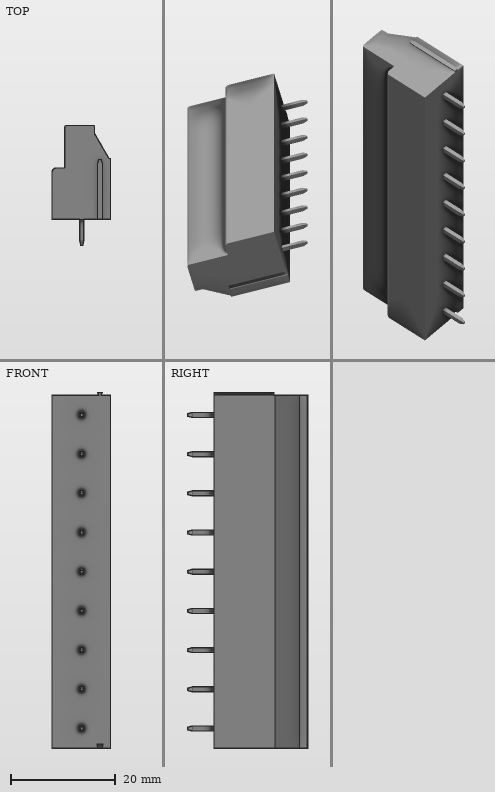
import cadquery as cq
import math

housing_width = 11.2
housing_height = 18.0
housing_length = 67.6

step_width = 2.4
step_height = 9.85
step_radius = 0.8
crown_right = 8.15
crown_left_radius = 0.5
crown_right_radius = 0.25
slope_top = 16.45
slope_angle = 60.0
slope_ledge = 0.3

pin_count = 9
pin_pitch = 7.5
pin_x = 5.7
pin_size_x = 0.8
pin_size_z = 1.0
pin_length = 5.0
pin_taper_length = 0.9
pin_tip_scale = 0.5
first_pin_z = (housing_length - (pin_count - 1) * pin_pitch) / 2

dovetail_x = 9.17
dovetail_length = 11.5
rib_height = 0.5
rib_root_width = 0.5
rib_outer_width = 0.9
rib_nose_length = 0.75
rib_nose_width = 0.5
groove_depth = 0.8
groove_mouth_width = 0.8
groove_inner_width = 1.2


def make_housing():
    """Extrude the stepped outline, rounded on its step and crown corners."""
    slope_run = housing_width - slope_ledge - crown_right
    slope_bottom = slope_top - slope_run * math.tan(math.radians(slope_angle))
    outline = [
        (0, 0),
        (housing_width, 0),
        (housing_width, slope_bottom),
        (housing_width - slope_ledge, slope_bottom),
        (crown_right, slope_top),
        (crown_right, housing_height),
        (step_width, housing_height),
        (step_width, step_height),
        (0, step_height),
    ]
    body = cq.Workplane("XY").polyline(outline).close().extrude(housing_length)
    rounded_corners = [
        (0, step_height, step_radius),
        (step_width, housing_height, crown_left_radius),
        (crown_right, housing_height, crown_right_radius),
    ]
    for x, y, radius in rounded_corners:
        corner = cq.selectors.NearestToPointSelector((x, y, housing_length / 2))
        body = body.edges("|Z").edges(corner).fillet(radius)
    return body


def make_pin(z):
    """Rectangular pin below the mounting face, tapered at its tip."""
    shank_length = pin_length - pin_taper_length
    shank = (
        cq.Workplane("XZ", origin=(pin_x, 0, z))
        .rect(pin_size_x, pin_size_z)
        .extrude(shank_length)
    )
    tip = (
        cq.Workplane("XZ", origin=(pin_x, -shank_length, z))
        .rect(pin_size_x, pin_size_z)
        .workplane(offset=pin_taper_length)
        .rect(pin_size_x * pin_tip_scale, pin_size_z * pin_tip_scale)
        .loft(ruled=True)
    )
    return shank.union(tip)


def make_dovetail(bottom_z, height, bottom_width, top_width):
    """Dovetail bar running from the mounting face up to the dovetail length."""
    section = [
        (dovetail_x - bottom_width / 2, bottom_z),
        (dovetail_x + bottom_width / 2, bottom_z),
        (dovetail_x + top_width / 2, bottom_z + height),
        (dovetail_x - top_width / 2, bottom_z + height),
    ]
    return cq.Workplane("XZ").polyline(section).close().extrude(-dovetail_length)


def make_rib():
    """Dovetail rib on the upper end face, its nose trimmed to a lead-in by upright planes."""
    shoulder_y = dovetail_length - rib_nose_length
    plan = [
        (dovetail_x - rib_outer_width / 2, 0),
        (dovetail_x + rib_outer_width / 2, 0),
        (dovetail_x + rib_outer_width / 2, shoulder_y),
        (dovetail_x + rib_nose_width / 2, dovetail_length),
        (dovetail_x - rib_nose_width / 2, dovetail_length),
        (dovetail_x - rib_outer_width / 2, shoulder_y),
    ]
    trim = (
        cq.Workplane("XY", origin=(0, 0, housing_length))
        .polyline(plan)
        .close()
        .extrude(rib_height)
    )
    bar = make_dovetail(housing_length, rib_height, rib_root_width, rib_outer_width)
    return bar.intersect(trim)


rib = make_rib()
groove = make_dovetail(0, groove_depth, groove_mouth_width, groove_inner_width)

result = make_housing().cut(groove).union(rib)
for pin_index in range(pin_count):
    result = result.union(make_pin(first_pin_z + pin_index * pin_pitch))